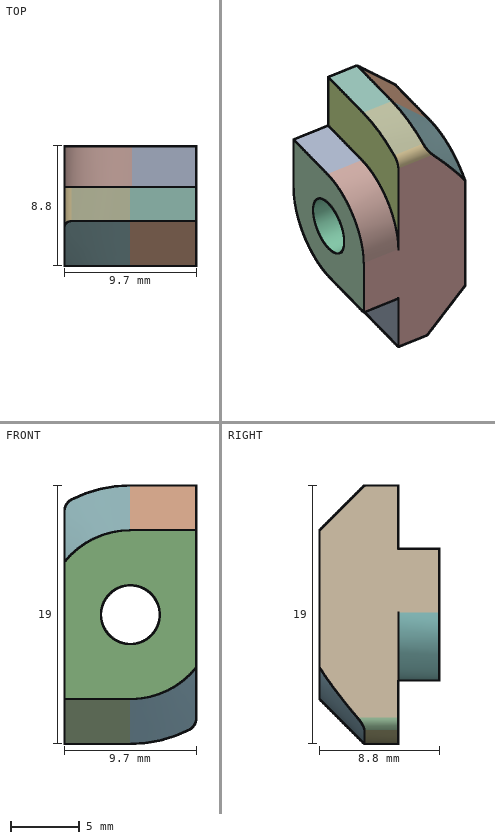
import cadquery as cq

WIDTH = 9.7
LENGTH = 19.0
FLANGE_DEPTH = 5.8
NECK_DEPTH = 3.0
BEVEL = 3.3
FLANGE_CORNER_RADIUS = 1.0
NECK_CORNER_RADIUS = 5.0
HOLE_DIAMETER = 4.3

DEPTH = FLANGE_DEPTH + NECK_DEPTH
Y_FRONT = -DEPTH / 2
Y_SHOULDER = Y_FRONT + FLANGE_DEPTH
Y_BACK = DEPTH / 2
HALF_WIDTH = WIDTH / 2
HALF_LENGTH = LENGTH / 2


def block(x_min, x_max, z_min, z_max, y_min, y_max):
    """Box given by its limits along each axis."""
    size = (x_max - x_min, y_max - y_min, z_max - z_min)
    return cq.Workplane("XY").box(*size, centered=False).translate((x_min, y_min, z_min))


def half_turn(shape):
    """Copy of the shape turned 180 degrees about the Y axis."""
    return shape.rotate((0, 0, 0), (0, 1, 0), 180)


def bevelled_profile():
    """Half section of the flange in the YZ plane, from the Y axis up to the bevelled end."""
    return cq.Workplane("YZ").polyline([
        (Y_FRONT, 0),
        (Y_FRONT, HALF_LENGTH - BEVEL),
        (Y_FRONT + BEVEL, HALF_LENGTH),
        (Y_SHOULDER, HALF_LENGTH),
        (Y_SHOULDER, 0),
    ]).close()


def round_quarter():
    """Upper -X quarter of the flange, turned about the Y axis and cut to the flange width."""
    turned = bevelled_profile().revolve(360, (0, 0), (1, 0))
    limits = block(-HALF_WIDTH, 0, 0, HALF_LENGTH, Y_FRONT, Y_SHOULDER)
    return turned.intersect(limits)


def square_quarter():
    """Upper +X quarter of the flange, with a flat end and a flat bevel."""
    return bevelled_profile().extrude(HALF_WIDTH)


def round_side_corners(flange):
    """Round the two edges along Y where the turned ends meet the flange sides."""
    end_height = (HALF_LENGTH**2 - HALF_WIDTH**2) ** 0.5
    y_edge = (Y_FRONT + BEVEL + Y_SHOULDER) / 2
    for side in (-1, 1):
        corner = cq.selectors.NearestToPointSelector((side * HALF_WIDTH, y_edge, -side * end_height))
        flange = flange.edges(corner).fillet(FLANGE_CORNER_RADIUS)
    return flange


def make_flange():
    """Upper half of the flange joined to its half turn copy, with the side corners rounded."""
    half = square_quarter().union(round_quarter())
    return round_side_corners(half.union(half_turn(half)).clean())


def make_neck():
    """Square neck with the upper -X corner and its opposite rounded."""
    neck = block(-HALF_WIDTH, HALF_WIDTH, -HALF_WIDTH, HALF_WIDTH, Y_SHOULDER, Y_BACK)
    for corner in ("<X and >Z", ">X and <Z"):
        neck = neck.edges("|Y").edges(corner).fillet(NECK_CORNER_RADIUS)
    return neck


def make_hole():
    """Cylinder along the Y axis through the full depth."""
    return cq.Workplane("XZ", origin=(0, Y_BACK, 0)).circle(HOLE_DIAMETER / 2).extrude(DEPTH)


result = make_flange().union(make_neck()).cut(make_hole())